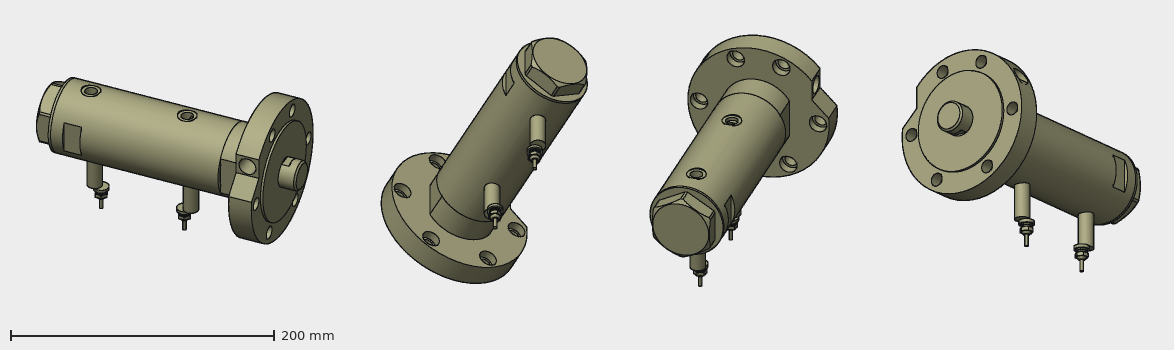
import cadquery as cq
import math


OVERALL_LENGTH = 211.2
OVERALL_HEIGHT = 133.6

COLLAR_START = 13.0
BARREL_START = 15.0
PISTON_START = 38.2
SPIGOT_START = 117.1
BARREL_END = 154.6
FLANGE_START = 175.8
FLANGE_END = 194.8
PILOT_END = 196.8

BARREL_RADIUS = 29.5
BORE_RADIUS = 21.0
BARREL_FLAT_START = 25.0
BARREL_FLAT_LENGTH = 14.5
BARREL_FLAT_WIDTH = 53.0
PORT_CENTRES = (35.4, 115.7)
PORT_RADIUS = 4.8
SPOTFACE_RADIUS = 7.5
SPOTFACE_HEIGHT = math.sqrt(BARREL_RADIUS**2 - SPOTFACE_RADIUS**2)

HEX_ACROSS_FLATS = 46.0
HEX_TURNED_RADIUS = 26.0
HEX_FACE_RADIUS = 22.6
HEX_CHAMFER_LENGTH = 2.5

HEAD_SPIGOT_RADIUS = 26.0
NECK_FLAT_WIDTH = 50.0
FLANGE_RADIUS = 57.0
PILOT_RADIUS = 40.0
BOLT_CIRCLE_RADIUS = 48.0
BOLT_ANGLES = (0, 67.5, 112.5, 180, 240, 300)
BOLT_HOLE_DIAMETER = 10.2
BOLT_HEAD_DIAMETER = 14.0
BOLT_HEAD_DEPTH = 7.0
NOTCH_FLAT_Y = -43.0
NOTCH_CORNER_Z = 20.4
NOTCH_OVERRUN = 5.0
NOTCH_SLOPE_RUN = FLANGE_RADIUS + NOTCH_FLAT_Y + NOTCH_OVERRUN
CROSS_HOLE_RADIUS = 7.0
CROSS_HOLE_Z = 28.6
CROSS_HOLE_END_Y = 51.6

ROD_RADIUS = 12.0
ROD_CHAMFER = 1.5
PISTON_LENGTH = 25.0
ROD_FLAT_WIDTH = 21.0
ROD_FLAT_END = 203.0

SENSOR_CENTRES = (38.5, 118.7)
SENSOR_SEAT_Z = -27.0
STEM_RADIUS = 6.0
STEM_END_Z = -56.6
CONNECTOR_OFFSET = 5.4
DISC_RADIUS = 6.0
DISC_END_Z = -59.2
STEP_RADIUS = 4.5
STEP_END_Z = -60.4
THROAT_RADIUS = 3.4
THROAT_END_Z = -62.0
NUT_ACROSS_FLATS = 9.0
NUT_TILT = -8.0
NUT_CHAMFER = 0.8
NUT_END_Z = -65.4
GLAND_START_RADIUS = 3.9
GLAND_END_RADIUS = 2.4
GLAND_END_Z = -67.4
CABLE_RADIUS = 1.4
CABLE_END_Z = FLANGE_RADIUS - OVERALL_HEIGHT


def axial_cylinder(start, end, radius):
    """Cylinder on the main axis between two stations."""
    return cq.Workplane("YZ", origin=(start, 0, 0)).circle(radius).extrude(end - start)


def upright_cylinder(x, bottom, top, radius):
    """Cylinder parallel to Z on the centre plane of the part."""
    return cq.Workplane("XY", origin=(x, 0, bottom)).circle(radius).extrude(top - bottom)


def across_flats_block(start, end, across_y, across_z):
    """Block on the main axis, used to leave parallel wrench flats."""
    return cq.Workplane("YZ", origin=(start, 0, 0)).rect(across_y, across_z).extrude(end - start)


def across_corners(across_flats):
    """Distance across the corners of a regular hexagon."""
    return across_flats / math.cos(math.radians(30))


def make_plug():
    hex_bar = (
        cq.Workplane("YZ")
        .transformed(rotate=(0, 0, 90))
        .polygon(6, across_corners(HEX_ACROSS_FLATS))
        .extrude(COLLAR_START)
    )
    turned_blank = (
        cq.Workplane("XY")
        .lineTo(0, HEX_FACE_RADIUS)
        .lineTo(HEX_CHAMFER_LENGTH, HEX_TURNED_RADIUS)
        .lineTo(COLLAR_START, HEX_TURNED_RADIUS)
        .lineTo(COLLAR_START, 0)
        .close()
        .revolve(360, (0, 0, 0), (1, 0, 0))
    )
    collar = axial_cylinder(COLLAR_START, BARREL_START, BARREL_RADIUS)
    spigot = axial_cylinder(BARREL_START, PISTON_START, BORE_RADIUS)
    return hex_bar.intersect(turned_blank).union(collar).union(spigot)


def make_barrel():
    barrel = axial_cylinder(BARREL_START, BARREL_END, BARREL_RADIUS)
    flat_end = BARREL_FLAT_START + BARREL_FLAT_LENGTH
    flat_ring = axial_cylinder(BARREL_FLAT_START, flat_end, 2 * BARREL_RADIUS)
    flat_core = across_flats_block(BARREL_FLAT_START, flat_end, BARREL_FLAT_WIDTH, 4 * BARREL_RADIUS)
    barrel = barrel.cut(flat_ring.cut(flat_core))
    barrel = barrel.cut(axial_cylinder(BARREL_START, BARREL_END, BORE_RADIUS))
    barrel = barrel.cut(axial_cylinder(SPIGOT_START, BARREL_END, HEAD_SPIGOT_RADIUS))
    for x in PORT_CENTRES:
        barrel = barrel.cut(upright_cylinder(x, 0, BARREL_RADIUS, PORT_RADIUS))
        barrel = barrel.cut(upright_cylinder(x, SPOTFACE_HEIGHT, BARREL_RADIUS, SPOTFACE_RADIUS))
    for x in SENSOR_CENTRES:
        barrel = barrel.cut(upright_cylinder(x, -BARREL_RADIUS, SENSOR_SEAT_Z, STEM_RADIUS))
    return barrel


def make_flange():
    flange = axial_cylinder(FLANGE_START, FLANGE_END, FLANGE_RADIUS)
    notch = (
        cq.Workplane("YZ", origin=(FLANGE_START, 0, 0))
        .moveTo(NOTCH_FLAT_Y, FLANGE_RADIUS)
        .lineTo(NOTCH_FLAT_Y, NOTCH_CORNER_Z)
        .lineTo(NOTCH_FLAT_Y - NOTCH_SLOPE_RUN, NOTCH_CORNER_Z - NOTCH_SLOPE_RUN)
        .lineTo(NOTCH_FLAT_Y - NOTCH_SLOPE_RUN, FLANGE_RADIUS)
        .close()
        .extrude(FLANGE_END - FLANGE_START)
    )
    cross_hole = (
        cq.Workplane("XZ", origin=((FLANGE_START + FLANGE_END) / 2, CROSS_HOLE_END_Y, CROSS_HOLE_Z))
        .circle(CROSS_HOLE_RADIUS)
        .extrude(CROSS_HOLE_END_Y + FLANGE_RADIUS)
    )
    flange = flange.cut(notch).cut(cross_hole)
    for angle in BOLT_ANGLES:
        y = BOLT_CIRCLE_RADIUS * math.cos(math.radians(angle))
        z = BOLT_CIRCLE_RADIUS * math.sin(math.radians(angle))
        bolt_plane = cq.Workplane("YZ", origin=(FLANGE_START, y, z))
        flange = flange.cut(bolt_plane.circle(BOLT_HOLE_DIAMETER / 2).extrude(FLANGE_END - FLANGE_START))
        flange = flange.cut(bolt_plane.circle(BOLT_HEAD_DIAMETER / 2).extrude(BOLT_HEAD_DEPTH))
    return flange


def make_head():
    neck = axial_cylinder(BARREL_END, FLANGE_START, BARREL_RADIUS).intersect(
        across_flats_block(BARREL_END, FLANGE_START, NECK_FLAT_WIDTH, 2 * BARREL_RADIUS)
    )
    spigot = axial_cylinder(SPIGOT_START, BARREL_END, HEAD_SPIGOT_RADIUS)
    pilot = axial_cylinder(FLANGE_END, PILOT_END, PILOT_RADIUS)
    rod_bore = axial_cylinder(SPIGOT_START, PILOT_END, ROD_RADIUS)
    return make_flange().union(neck).union(spigot).union(pilot).cut(rod_bore)


def make_piston_rod():
    piston = axial_cylinder(PISTON_START, PISTON_START + PISTON_LENGTH, BORE_RADIUS)
    rod = axial_cylinder(PISTON_START, OVERALL_LENGTH, ROD_RADIUS).faces(">X").chamfer(ROD_CHAMFER)
    flat_ring = axial_cylinder(PILOT_END, ROD_FLAT_END, 2 * ROD_RADIUS)
    flat_core = across_flats_block(PILOT_END, ROD_FLAT_END, 4 * ROD_RADIUS, ROD_FLAT_WIDTH)
    return rod.cut(flat_ring.cut(flat_core)).union(piston)


def make_sensor(stem_x, connector_x):
    stem = upright_cylinder(stem_x, STEM_END_Z, SENSOR_SEAT_Z, STEM_RADIUS)
    disc = upright_cylinder(connector_x, DISC_END_Z, STEM_END_Z, DISC_RADIUS)
    step = upright_cylinder(connector_x, STEP_END_Z, DISC_END_Z, STEP_RADIUS)
    throat = upright_cylinder(connector_x, THROAT_END_Z, STEP_END_Z, THROAT_RADIUS)
    nut = (
        cq.Workplane("XY", origin=(connector_x, 0, NUT_END_Z))
        .transformed(rotate=(0, 0, NUT_TILT))
        .polygon(6, across_corners(NUT_ACROSS_FLATS))
        .extrude(THROAT_END_Z - NUT_END_Z)
    )
    nut_blank = upright_cylinder(connector_x, NUT_END_Z, THROAT_END_Z, across_corners(NUT_ACROSS_FLATS) / 2)
    nut = nut.intersect(nut_blank.faces(">Z").chamfer(NUT_CHAMFER))
    gland = (
        cq.Workplane("XY", origin=(connector_x, 0, NUT_END_Z))
        .circle(GLAND_START_RADIUS)
        .workplane(offset=GLAND_END_Z - NUT_END_Z)
        .circle(GLAND_END_RADIUS)
        .loft()
    )
    cable = upright_cylinder(connector_x, CABLE_END_Z, GLAND_END_Z, CABLE_RADIUS)
    sensor = stem
    for section in (disc, step, throat, nut, gland, cable):
        sensor = sensor.union(section)
    return sensor


plug = make_plug()
barrel = make_barrel()
head = make_head()
piston_rod = make_piston_rod()

sensors = []
for stem_x, direction in zip(SENSOR_CENTRES, (1, -1)):
    sensors.append(make_sensor(stem_x, stem_x + direction * CONNECTOR_OFFSET).val())

result = cq.Compound.makeCompound([plug.val(), barrel.val(), head.val(), piston_rod.val(), *sensors])